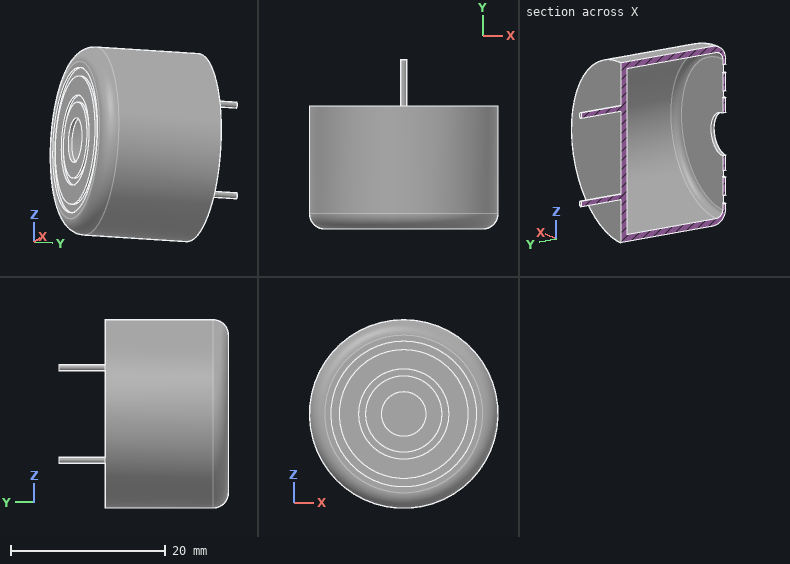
import cadquery as cq

body_radius = 12.25
body_length = 16.0
total_length = 22.0
edge_radius = 2.0
sound_hole_radius = 2.9
wall = 1.0
front_thickness = 0.5
groove_radii = [(4.95, 5.85), (8.35, 9.45)]
groove_depth = 0.3
pin_diameter = 0.8
pin_spacing = 12.0

front_y = -total_length / 2
back_y = front_y + body_length
pin_length = total_length - body_length


def cylinder(radius, start_y, length, z=0.0):
    """Cylinder along +Y that starts at start_y."""
    direction = cq.Vector(0, 1, 0)
    return cq.Workplane(cq.Solid.makeCylinder(radius, length, cq.Vector(0, start_y, z), direction))


def make_body():
    """Closed can with a rounded front rim."""
    return cylinder(body_radius, front_y, body_length).faces("<Y").edges().fillet(edge_radius)


def make_cavity():
    """Hollow sound chamber behind the front wall."""
    cavity_length = body_length - front_thickness - wall
    cavity = cylinder(body_radius - wall, front_y + front_thickness, cavity_length)
    return cavity.faces("<Y").edges().fillet(edge_radius - wall)


def make_groove(inner_radius, outer_radius):
    """Shallow ring sunk into the front face."""
    ring = cylinder(outer_radius, front_y, groove_depth)
    return ring.cut(cylinder(inner_radius, front_y, groove_depth))


result = make_body().cut(make_cavity())

result = result.cut(cylinder(sound_hole_radius, front_y, front_thickness))

for inner_radius, outer_radius in groove_radii:
    result = result.cut(make_groove(inner_radius, outer_radius))

for side in (-1, 1):
    pin = cylinder(pin_diameter / 2, back_y, pin_length, side * pin_spacing / 2)
    result = result.union(pin)